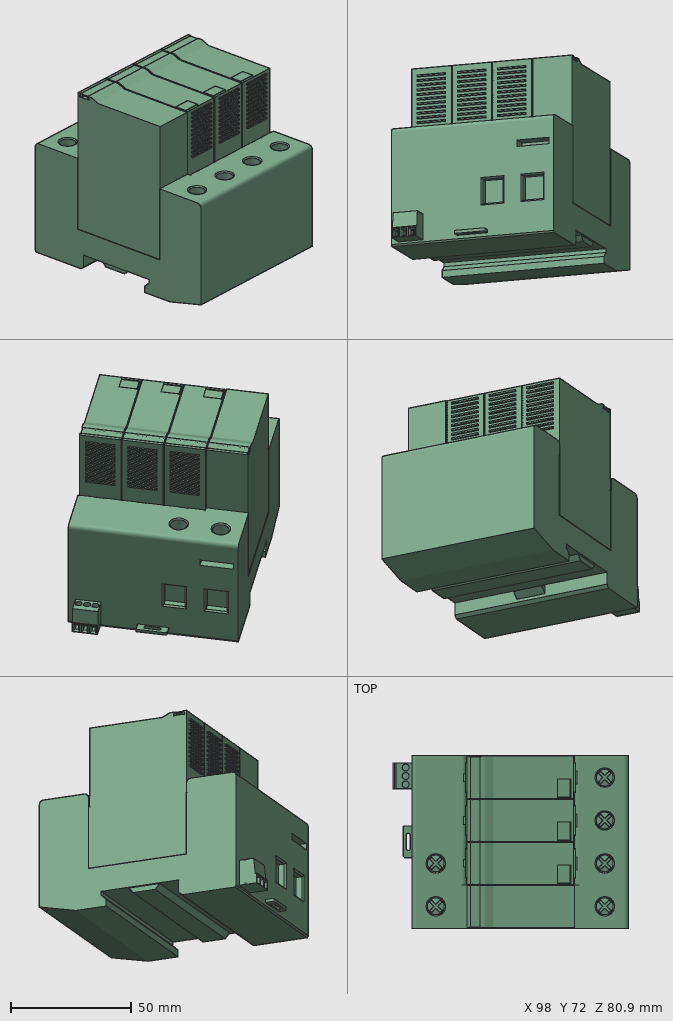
import cadquery as cq

body_length = 90.0
body_width = 72.0
body_height = 50.6
top_edge_radius = 2.0
bottom_bevel_height = 0.8
bottom_bevel_width = 0.4

module_count = 4
plug_count = 3
module_pitch = 17.8
stack_width = module_count * module_pitch
module_left = 22.9
fixed_right = 67.6
plug_right = 67.2
module_base = 17.7
deck_height = 79.3
ridge_height = 80.9
seam_width = 0.4
seam_depth = 0.5

first_module_y = (module_count - 1) / 2 * module_pitch
module_centres = [first_module_y - i * module_pitch for i in range(module_count)]
plug_centres = module_centres[:plug_count]
plug_front = stack_width / 2 - plug_count * module_pitch
plug_back = body_width / 2
screwed_left_centres = module_centres[2:]


def box(x0, x1, y0, y1, z0, z1):
    """Axis-aligned block given by its limits."""
    return cq.Workplane("XY").box(x1 - x0, y1 - y0, z1 - z0, centered=False).translate((x0, y0, z0))


def prism(points, y0, y1):
    """X-Z outline extruded from y0 to y1."""
    return cq.Workplane("XZ", origin=(0, y0, 0)).polyline(points).close().extrude(y0 - y1)


rail_top = 6.8
rail_left = 26.3
rail_right = 61.7
hook_tip = 59.5
hook_slope_top = 5.1
hook_slope_low = 2.9
slope_start = 73.2
slope_end_height = 3.9
foot_chamfer = 1.4


def housing():
    outline = [
        (bottom_bevel_width, 0),
        (rail_left - foot_chamfer, 0),
        (rail_left, foot_chamfer),
        (rail_left, rail_top),
        (rail_right, rail_top),
        (rail_right, hook_slope_top),
        (hook_tip, hook_slope_low),
        (hook_tip, 0),
        (slope_start, 0),
        (body_length, slope_end_height),
        (body_length, body_height),
        (0, body_height),
        (0, bottom_bevel_height),
    ]
    block = prism(outline, -body_width / 2, body_width / 2)
    return block.edges("|Y and >Z").fillet(top_edge_radius)


def side_recesses():
    """Shallow steps that set the module stack back from both housing sides."""
    half_stack = stack_width / 2
    half_body = body_width / 2
    front = box(module_left, fixed_right, -half_body, -half_stack, module_base, body_height)
    return front.union(front.mirror("XZ"))


lip_radius = 1.9
opening_left = 22.6
opening_right = fixed_right
opening_depth = 5.9
notch_depth = 2.9
left_notch_start = 21.5
left_notch_width = 3.1
right_notch_end = 68.7
right_notch_width = 5.5


def plug_opening():
    """Opening around the plug-in modules, with a notch in each lip at every module centre."""
    lip_z = body_height - lip_radius
    outline = (
        cq.Workplane("XZ", origin=(0, plug_front, 0))
        .moveTo(opening_left - lip_radius, body_height)
        .radiusArc((opening_left, lip_z), lip_radius)
        .lineTo(opening_left, body_height - opening_depth)
        .lineTo(opening_right, body_height - opening_depth)
        .lineTo(opening_right, lip_z)
        .radiusArc((opening_right + lip_radius, body_height), lip_radius)
        .close()
    )
    opening = outline.extrude(plug_front - plug_back)
    for y in plug_centres:
        left_half = left_notch_width / 2
        right_half = right_notch_width / 2
        notch_floor = body_height - notch_depth
        left_notch = box(left_notch_start, module_left, y - left_half, y + left_half, notch_floor, body_height)
        right_notch = box(plug_right, right_notch_end, y - right_half, y + right_half, notch_floor, body_height)
        opening = opening.union(left_notch).union(right_notch)
    return opening


ridge_flat_end = 30.4
ridge_slope_end = 33.9
ridge_radius = 1.6


def module_block(right, y0, y1):
    """Module body with a raised ridge along its left side."""
    outline = [
        (module_left, module_base),
        (right, module_base),
        (right, deck_height),
        (ridge_slope_end, deck_height),
        (ridge_flat_end, ridge_height),
        (module_left, ridge_height),
    ]
    margin = 1.0
    slope_edges = cq.selectors.BoxSelector(
        (ridge_flat_end - margin, y0 - margin, deck_height - margin),
        (ridge_slope_end + margin, y1 + margin, ridge_height + margin),
    )
    return prism(outline, y0, y1).edges("|Y").edges(slope_edges).fillet(ridge_radius)


def module_stack():
    fixed = module_block(fixed_right, -stack_width / 2, plug_front)
    plugs = module_block(plug_right, plug_front, stack_width / 2)
    return fixed.union(plugs)


def seams():
    """Narrow grooves between neighbouring modules, over both ends and the top."""
    cuts = cq.Workplane("XY")
    for i in range(1, module_count):
        y = stack_width / 2 - i * module_pitch
        ring = module_block(fixed_right, y - seam_width / 2, y + seam_width / 2)
        core_outline = [
            (module_left + seam_depth, module_base),
            (plug_right - seam_depth, module_base),
            (plug_right - seam_depth, deck_height - seam_depth),
            (ridge_slope_end, deck_height - seam_depth),
            (ridge_flat_end, ridge_height - seam_depth),
            (module_left + seam_depth, ridge_height - seam_depth),
        ]
        core = prism(core_outline, y - seam_width / 2, y + seam_width / 2)
        upper = box(0, body_length, y - seam_width, y + seam_width, body_height - opening_depth, ridge_height)
        cuts = cuts.add(ring.cut(core).intersect(upper))
    return cuts.combine()


groove_left = 24.3
groove_right = 28.3
groove_flare = 0.6
strip_drop = 0.1
strip_end_gap = 0.3
tunnel_left = 25.1
tunnel_right = 27.8
tunnel_height = 1.0


def dovetail(top, half_length):
    outline = [
        (groove_left - groove_flare, deck_height),
        (groove_right + groove_flare, deck_height),
        (groove_right, top),
        (groove_left, top),
    ]
    return prism(outline, -half_length, half_length)


def label_strip():
    half_length = stack_width / 2 - strip_end_gap
    strip = dovetail(ridge_height - strip_drop, half_length)
    tunnel = box(tunnel_left, tunnel_right, -half_length, half_length, deck_height, deck_height + tunnel_height)
    return strip.cut(tunnel)


rib_count = 11
rib_pitch = 2.0
rib_thickness = 0.7
rib_width = 12.3
rib_height = 0.8
top_rib_z = 77.6


def grip_ribs():
    ribs = cq.Workplane("XY")
    for y in plug_centres:
        for i in range(rib_count):
            z = top_rib_z - i * rib_pitch
            rib = box(module_left - rib_height, plug_right + rib_height,
                      y - rib_width / 2, y + rib_width / 2, z - rib_thickness / 2, z + rib_thickness / 2)
            ribs = ribs.add(rib)
    return ribs.combine()


button_left = 60.5
button_right = 66.1
button_width = 7.9
button_gap = 0.4
button_well_depth = 1.0
button_drop = 0.1


def button_blocks(drop, gap):
    """Well (no drop, no gap) or button body (lowered, with a gap on two sides) of each plug-in module."""
    blocks = cq.Workplane("XY")
    for y in plug_centres:
        y0 = y - module_pitch / 2 + seam_width
        block = box(button_left, button_right - gap, y0 + gap, y0 + button_width,
                    deck_height - button_well_depth, deck_height - drop)
        blocks = blocks.add(block)
    return blocks.combine()


screw_inset = 9.9
screw_hole_diameter = 7.0
screw_mouth_diameter = 8.0
screw_mouth_depth = 0.5
screw_depth = 9.8
screw_dome = 0.4
cross_slot_width = 1.2
cross_slot_length = 6.3
cross_slot_depth = 1.5


def screw_well():
    """Hole with a bevelled mouth, a domed screw head as its floor and a cross slot in the head."""
    radius = screw_hole_diameter / 2
    mouth_radius = screw_mouth_diameter / 2
    dome_radius = (radius ** 2 + screw_dome ** 2) / (2 * screw_dome)
    profile = (
        cq.Workplane("XZ")
        .moveTo(0, -screw_depth)
        .radiusArc((radius, -screw_depth - screw_dome), dome_radius)
        .lineTo(radius, -screw_mouth_depth)
        .lineTo(mouth_radius, 0)
        .lineTo(0, 0)
        .close()
    )
    well = profile.revolve(360, (0, 0, 0), (0, 1, 0))
    slot_bottom = -screw_depth - cross_slot_depth
    for angle in (45, 135):
        slot = (
            cq.Workplane("XY", origin=(0, 0, slot_bottom))
            .rect(cross_slot_length, cross_slot_width)
            .extrude(cross_slot_depth)
            .rotate((0, 0, 0), (0, 0, 1), angle)
        )
        well = well.union(slot)
    return well


def screw_wells():
    right_places = [(body_length - screw_inset, y) for y in module_centres]
    left_places = [(screw_inset, y) for y in screwed_left_centres]
    well = screw_well()
    wells = cq.Workplane("XY")
    for x, y in left_places + right_places:
        wells = wells.add(well.translate((x, y, body_height)))
    return wells.combine()


window_width = 10.3
window_low = 14.3
window_high = 26.1
window_bevel = 0.7
window_depth = 3.3
slit_near = -19.8
slit_far = -34.0
slit_low = 38.0
slit_high = 40.7
slit_depth = 5.9


def end_openings():
    """Narrow slit and the bevelled windows below it."""
    cuts = box(0, slit_depth, slit_far, slit_near, slit_low, slit_high)
    height = window_high - window_low
    middle = (window_low + window_high) / 2
    for y in screwed_left_centres:
        mouth = (
            cq.Workplane("YZ", origin=(0, y, middle))
            .rect(window_width, height)
            .workplane(offset=window_bevel)
            .rect(window_width - 2 * window_bevel, height - 2 * window_bevel)
            .loft()
        )
        inner = (
            cq.Workplane("YZ", origin=(0, y, middle))
            .rect(window_width - 2 * window_bevel, height - 2 * window_bevel)
            .extrude(window_depth)
        )
        cuts = cuts.union(mouth).union(inner)
    return cuts


overall_length = 97.95
connector_reach = overall_length - body_length
connector_y = 27.4
connector_width = 10.8
connector_bottom = 1.7
connector_top = 12.6
connector_step = 6.0
connector_upper_reach = 6.6
connector_step_reach = 7.2
connector_rim = 0.4
pole_count = 3
pole_pitch = 3.5
pole_hole_diameter = 2.8
pole_hole_x = -2.6
pole_hole_depth = 10.2
funnel_z = 3.6
funnel_width = 2.8
funnel_height = 3.5
funnel_throat_width = 1.5
funnel_throat_height = 2.2
funnel_depth = 1.0
throat_depth = 4.9


def connector():
    outline = [
        (0, connector_bottom),
        (-connector_reach, connector_bottom),
        (-connector_reach, connector_step),
        (-connector_step_reach, connector_step),
        (-connector_upper_reach, connector_top - connector_rim),
        (-connector_upper_reach, connector_top),
        (0, connector_top),
    ]
    half_width = connector_width / 2
    block = prism(outline, connector_y - half_width, connector_y + half_width)
    for i in range(pole_count):
        y = connector_y + (i - (pole_count - 1) / 2) * pole_pitch
        hole = (
            cq.Workplane("XY", origin=(pole_hole_x, y, connector_top - pole_hole_depth))
            .circle(pole_hole_diameter / 2)
            .extrude(pole_hole_depth)
        )
        mouth_plane = cq.Workplane("YZ", origin=(-connector_reach, y, funnel_z))
        funnel = (
            mouth_plane.rect(funnel_width, funnel_height)
            .workplane(offset=funnel_depth)
            .rect(funnel_throat_width, funnel_throat_height)
            .loft()
        )
        throat = mouth_plane.rect(funnel_throat_width, funnel_throat_height).extrude(throat_depth)
        block = block.cut(hole).cut(funnel).cut(throat)
    return block


tab_reach = 3.7
tab_width = 13.3
tab_bottom = 2.3
tab_thickness = 1.3
tab_large_radius = 1.3
tab_small_radius = 0.5
tab_slot_length = 7.1
tab_slot_width = 1.6
tab_slot_x = -1.6
catch_low = 2.7
catch_tip_height = 5.3
catch_high = 6.2
catch_reach = 2.9
foot_width = 70.0
foot_bottom = 4.5
foot_left = 35.4
foot_right = 49.8
foot_slope = 2.2


def pull_tab():
    tab = box(-tab_reach, 0, -tab_width / 2, tab_width / 2, tab_bottom, tab_bottom + tab_thickness)
    tab = tab.edges("|Z and <X and <Y").fillet(tab_large_radius)
    tab = tab.edges("|Z and <X and >Y").fillet(tab_small_radius)
    slot = (
        cq.Workplane("XY", origin=(tab_slot_x, 0, tab_bottom))
        .slot2D(tab_slot_length, tab_slot_width, 90)
        .extrude(tab_thickness)
    )
    return tab.cut(slot)


def rail_catch():
    outline = [(rail_left, catch_low), (rail_left + catch_reach, catch_tip_height), (rail_left, catch_high)]
    return prism(outline, -tab_width / 2, tab_width / 2)


def centre_foot():
    outline = [
        (foot_left, rail_top),
        (foot_left + foot_slope, foot_bottom),
        (foot_right - foot_slope, foot_bottom),
        (foot_right, rail_top),
    ]
    return prism(outline, -foot_width / 2, foot_width / 2)


lower = housing().cut(side_recesses()).cut(plug_opening()).cut(screw_wells()).cut(end_openings())
upper = module_stack().cut(button_blocks(0, 0)).union(button_blocks(button_drop, button_gap))
upper = upper.cut(dovetail(ridge_height, stack_width / 2)).union(label_strip()).cut(seams()).union(grip_ribs())
result = lower.union(upper).union(connector()).union(pull_tab()).union(rail_catch()).union(centre_foot())